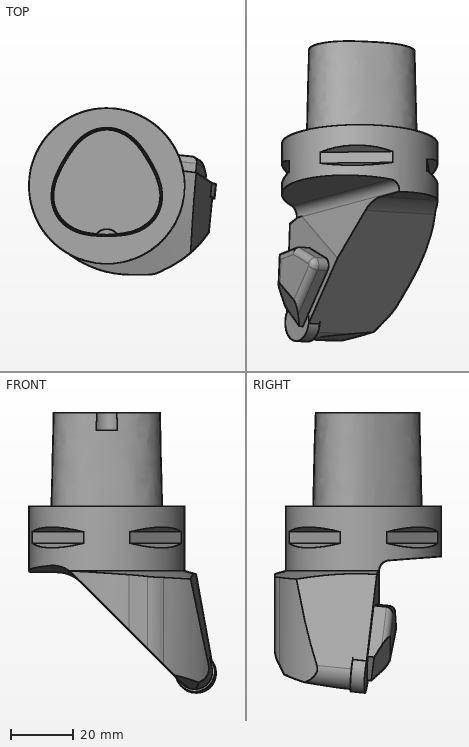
import cadquery as cq
import math

shank_height = 30.0
shank_base_radius = 17.5
shank_top_radius = 16.7
lobe_amplitude = 1.3
notch_radius = 4.2
notch_depth = 5.7
notch_axis_y = -18.1

flange_radius = 25.0
flange_blank_depth = 27
groove_count = 4
groove_first_angle = 45
groove_floor_distance = 22.1
groove_floor_height = 3.6
groove_mouth_height = 6.7
groove_middle_z = -10.1

front_face_y = 5.0
relief_edge_z = -16.2
relief_drop = 1.5
relief_corner_radius = 3.3

arm_flat_y = -28.5
arm_cone_start_z = -20.8
arm_cone_slope = 0.28

arm_back_x = -19.8
arm_back_y = -15.3
arm_left_start = (-12.15, -21.9)
arm_left_middle = (-3.6, -26.55)
arm_flat_start_x = 7.1
arm_flat_end_x = 13.05
arm_corner_middle = (15.7, -28.2)
arm_corner_end = (18.2, -27)
arm_right_middle = (26.8, -21.6)
arm_right_end = (35.1, -10.8)
arm_limit_x = 45

insert_radius = 12.7 / 2
insert_thickness = 4.5
insert_center = (28.8, 1.1, -53.68)
rake_slope = 0.1
pocket_radius = 5.6
nose_angle = 34.5
underside_corner_y = -51.4
underside_fillet = 10.4
right_flank_length = 42.3

nose_relief_point = (28.3, -5.4, -58.7)
nose_relief_normal = (-0.17, -0.17, -1)

clamp_outline = [(-3.6, -25.65), (-3.6, -0.45), (5.85, -1.8), (15.1, -15.75), (9, -22.5)]
clamp_height = 6.3
clamp_full_end = -9
clamp_tip_end = -0.45
clamp_tip_height = 1.35
clamp_top_fillet = 2.25
clamp_corner_radius = 2.7

reach = 135

rake = cq.Plane(
    origin=insert_center,
    xDir=(1, 0, 1),
    normal=(rake_slope, 1, -rake_slope),
)


def lobed_wire(mean_radius, z):
    """Closed curve with three lobes, one of them pointing along +Y."""
    def point(t):
        angle = 2 * math.pi * t
        radius = mean_radius - lobe_amplitude * math.sin(3 * angle)
        return (radius * math.cos(angle), radius * math.sin(angle), z)

    steps = 36
    points = [cq.Vector(*point(i / steps)) for i in range(steps)]
    return cq.Wire.assembleEdges([cq.Edge.makeSpline(points, periodic=True)])


def make_shank():
    base = lobed_wire(shank_base_radius, 0)
    top = lobed_wire(shank_top_radius, shank_height)
    shank = cq.Workplane(obj=cq.Solid.makeLoft([base, top]))
    notch = (
        cq.Workplane("XY", origin=(0, notch_axis_y, shank_height - notch_depth))
        .circle(notch_radius)
        .extrude(notch_depth)
    )
    return shank.cut(notch)


def make_groove(angle):
    """Straight groove with a flat floor and flared sides, across the flange wall."""
    depth = flange_radius - groove_floor_distance
    flare = (groove_mouth_height - groove_floor_height) / 2 / depth
    outside = flange_radius + depth
    outside_half = groove_floor_height / 2 + 2 * depth * flare
    return (
        cq.Workplane("XZ", origin=(0, 0, groove_middle_z))
        .moveTo(groove_floor_distance, -groove_floor_height / 2)
        .lineTo(outside, -outside_half)
        .lineTo(outside, outside_half)
        .lineTo(groove_floor_distance, groove_floor_height / 2)
        .close()
        .extrude(flange_radius, both=True)
        .rotate((0, 0, 0), (0, 0, 1), angle)
    )


def make_arm_envelope():
    """Outline of the arm seen along Z, under a shallow conical top."""
    outline = (
        cq.Workplane("XY", origin=(0, 0, -reach / 2))
        .moveTo(arm_back_x, front_face_y)
        .lineTo(arm_back_x, arm_back_y)
        .lineTo(*arm_left_start)
        .threePointArc(arm_left_middle, (arm_flat_start_x, arm_flat_y))
        .lineTo(arm_flat_end_x, arm_flat_y)
        .threePointArc(arm_corner_middle, arm_corner_end)
        .threePointArc(arm_right_middle, arm_right_end)
        .lineTo(arm_limit_x, front_face_y)
        .close()
        .extrude(reach / 2)
    )
    base_z = arm_cone_start_z - arm_cone_slope * (reach - flange_radius)
    apex_z = arm_cone_start_z + arm_cone_slope * flange_radius
    cone = (
        cq.Workplane("XZ")
        .polyline([(0, -reach), (reach, -reach), (reach, base_z), (0, apex_z)])
        .close()
        .revolve(360, (0, 0, 0), (0, 1, 0))
    )
    return outline.intersect(cone)


def make_side_profile():
    """Flange underside, 45 degree flank, round nose and right flank, swept along the rake normal."""
    angle = math.radians(nose_angle)
    flank = (math.sin(angle), -math.cos(angle))
    nose_end = (pocket_radius * math.cos(angle), pocket_radius * math.sin(angle))
    flank_end = (
        nose_end[0] + right_flank_length * flank[0],
        nose_end[1] + right_flank_length * flank[1],
    )
    diagonal = reach / 2
    half_bend = math.radians(45 / 2)
    setback = underside_fillet * math.tan(half_bend)
    corner = (-pocket_radius, underside_corner_y)
    bend_start = (corner[0] - setback * math.sqrt(0.5), corner[1] - setback * math.sqrt(0.5))
    bend_middle = (
        corner[0] - underside_fillet * (1 - math.cos(half_bend)),
        corner[1] + setback - underside_fillet * math.sin(half_bend),
    )
    nose_middle_angle = (math.pi + angle) / 2
    nose_middle = (
        pocket_radius * math.cos(nose_middle_angle),
        pocket_radius * math.sin(nose_middle_angle),
    )
    return (
        cq.Workplane(rake)
        .moveTo(bend_start[0] - diagonal, bend_start[1] - diagonal)
        .lineTo(*bend_start)
        .threePointArc(bend_middle, (corner[0], corner[1] + setback))
        .lineTo(-pocket_radius, 0)
        .threePointArc(nose_middle, nose_end)
        .lineTo(*flank_end)
        .lineTo(flank_end[0] + diagonal, flank_end[1] + diagonal)
        .lineTo(flank_end[0] + diagonal, -2 * reach)
        .lineTo(bend_start[0] - diagonal, -2 * reach)
        .close()
        .extrude(reach, both=True)
    )


def make_front_relief():
    """Space in front of the arm and under the +Y part of the flange."""
    relief = (
        cq.Workplane("YZ")
        .moveTo(front_face_y, relief_edge_z - relief_drop)
        .lineTo(flange_radius, relief_edge_z)
        .lineTo(reach, relief_edge_z)
        .lineTo(reach, -reach)
        .lineTo(front_face_y, -reach)
        .close()
        .extrude(reach, both=True)
    )
    corner = cq.selectors.NearestToPointSelector((0, front_face_y, relief_edge_z - relief_drop))
    return relief.edges("|X").edges(corner).fillet(relief_corner_radius)


def make_clamp():
    clamp = (
        cq.Workplane(rake)
        .polyline(clamp_outline)
        .close()
        .extrude(clamp_height)
    )
    along = cq.Plane(origin=insert_center, xDir=rake.yDir.toTuple(), normal=rake.xDir.toTuple())
    wedge = (
        cq.Workplane(along)
        .polyline([
            (clamp_full_end, clamp_height),
            (clamp_tip_end, clamp_tip_height),
            (reach, clamp_tip_height),
            (reach, clamp_height),
        ])
        .close()
        .extrude(reach, both=True)
    )
    upright_edges = cq.selectors.ParallelDirSelector(rake.zDir)
    rear_edge = cq.selectors.DirectionMinMaxSelector(rake.yDir, False)
    top_face = cq.selectors.DirectionMinMaxSelector(rake.zDir)
    clamp = clamp.edges(upright_edges).edges(rear_edge).fillet(clamp_corner_radius)
    clamp = clamp.faces(top_face).edges().fillet(clamp_top_fillet)
    return clamp.cut(wedge)


def make_nose_relief():
    plane = cq.Plane(origin=nose_relief_point, normal=nose_relief_normal)
    return cq.Workplane(plane).rect(reach, reach).extrude(reach)


def make_insert():
    return cq.Workplane(rake).circle(insert_radius).extrude(-insert_thickness)


def make_holder():
    flange = cq.Workplane("XY").circle(flange_radius).extrude(-flange_blank_depth)
    head = flange.union(make_arm_envelope()).intersect(make_side_profile())
    head = head.cut(make_front_relief()).cut(make_nose_relief())
    above_rake = cq.Workplane(rake).rect(2 * reach, 2 * reach).extrude(reach)
    below_flange = (
        cq.Workplane("XY", origin=(0, 0, arm_cone_start_z))
        .rect(2 * reach, 2 * reach)
        .extrude(-reach)
    )
    head = head.cut(above_rake.intersect(below_flange))
    for index in range(groove_count):
        head = head.cut(make_groove(groove_first_angle + index * 360 / groove_count))
    return head.union(make_shank()).union(make_clamp()).cut(make_insert())


insert = make_insert()
holder = make_holder()

result = cq.Compound.makeCompound([holder.val(), insert.val()])